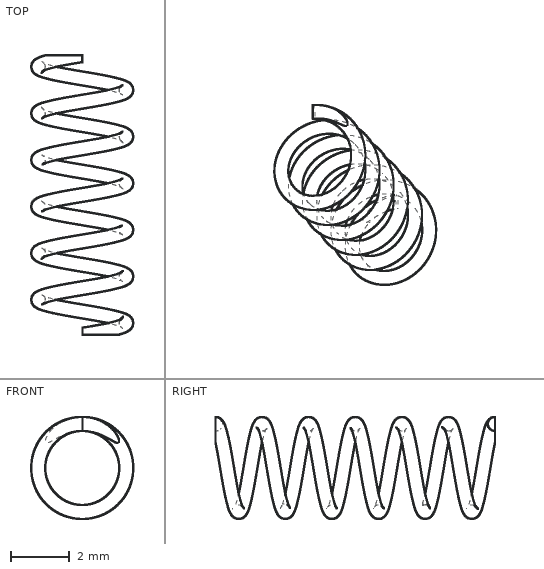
import cadquery as cq

length = 9.5
outer_diameter = 3.48
wire_diameter = 0.48
turns = 6

coil_radius = (outer_diameter - wire_diameter) / 2
pitch = length / turns


def coiled_wire():
    """Full round wire coiled about Z, starting on +X at Z = 0."""
    path = cq.Wire.makeHelix(pitch, length, coil_radius)
    section = cq.Workplane("XZ").center(coil_radius, 0).circle(wire_diameter / 2)
    return section.sweep(cq.Workplane(obj=path), isFrenet=True)


def ground_envelope():
    """Cylinder between the two grinding planes, clear of the coil's outside."""
    return cq.Workplane("XY").circle(outer_diameter).extrude(length)


ground_spring = coiled_wire().intersect(ground_envelope())

result = ground_spring.translate((0, 0, -length / 2)).rotate((0, 0, 0), (1, 1, 1), -120)